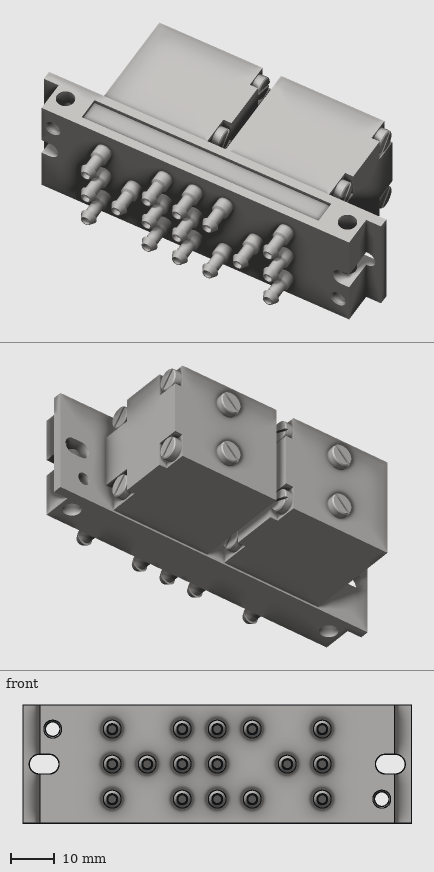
import cadquery as cq

plate_length = 88.5
plate_depth = 10.2
plate_height = 27.0
body_length = 80.7
flange_thickness = 2.4

recess_length = 62.1
recess_width = 5.8
recess_depth = 1.0

cross_hole_diameter = 4.4
cross_hole_x = 37.0
slot_x = 39.4
slot_length = 6.7
slot_width = 4.4
bolt_hole_x = 37.4
bolt_hole_diameter = 3.3
bolt_hole_mouth = 4.1
countersink_angle = 90.0

grid_pitch = 8.0
bolt_hole_z = grid_pitch
nipple_rows = {
    1: (-3, -1, 0, 1, 3),
    0: (-3, -2, -1, 0, 2, 3),
    -1: (-3, -1, 0, 1, 3),
}
nipple_length = 8.5
nipple_diameter = 4.1
neck_diameter = 3.0
tip_diameter = 2.5
bore_diameter = 2.0
collar_length = 2.7
collar_bevel = 0.4
barb_length = 1.5

block_length = 25.7
block_width = 29.2
block_height = 25.9
block_pitch = 31.95
blocks_x = 0.5
block_centres = (blocks_x - block_pitch / 2, blocks_x + block_pitch / 2)
block_end = plate_depth + block_length

screw_diameter = 5.6
screw_height = 2.1
screw_edge_chamfer = 0.3
screw_slot_width = 0.7
screw_slot_depth = 0.8
diagonal = 45.0
outer_slot_angles = (70.0, -diagonal)
end_screw_z = 7.0
side_screw_z = 9.7
side_screw_pitch = 17.9
notch_half_width = 2.9
outer_side_screw_y = block_end - notch_half_width
inner_side_screw_y = outer_side_screw_y - side_screw_pitch


def box_between(x, y, z):
    """Box spanning the given (low, high) pairs."""
    return cq.Workplane("XY").box(
        x[1] - x[0], y[1] - y[0], z[1] - z[0], centered=False
    ).translate((x[0], y[0], z[0]))


def make_plate():
    """Flanged plate with the recess and all its openings."""
    half_height = plate_height / 2
    body = box_between(
        (-body_length / 2, body_length / 2), (0, plate_depth), (-half_height, half_height)
    )
    flange = box_between(
        (-plate_length / 2, plate_length / 2),
        (plate_depth - flange_thickness, plate_depth),
        (-half_height, half_height),
    )
    recess = box_between(
        (-recess_length / 2, recess_length / 2),
        ((plate_depth - recess_width) / 2, (plate_depth + recess_width) / 2),
        (half_height - recess_depth, half_height),
    )
    cross_holes = (
        cq.Workplane("XY", origin=(0, plate_depth / 2, -half_height))
        .pushPoints([(-cross_hole_x, 0), (cross_hole_x, 0)])
        .circle(cross_hole_diameter / 2)
        .extrude(plate_height)
    )
    slots = (
        cq.Workplane("XZ")
        .pushPoints([(-slot_x, 0), (slot_x, 0)])
        .slot2D(slot_length, slot_width)
        .extrude(-plate_depth)
    )
    plate = body.union(flange).cut(recess).cut(cross_holes).cut(slots)
    return (
        plate.faces("<Y")
        .workplane(origin=(0, 0, 0))
        .pushPoints([(-bolt_hole_x, bolt_hole_z), (bolt_hole_x, -bolt_hole_z)])
        .cskHole(bolt_hole_diameter, bolt_hole_mouth, countersink_angle)
    )


def make_nipple():
    """Barbed nipple on the Y axis, pointing to -Y, bored over its length."""
    outer = nipple_diameter / 2
    neck = neck_diameter / 2
    bore = bore_diameter / 2
    return (
        cq.Workplane("XY")
        .moveTo(bore, 0)
        .lineTo(outer, 0)
        .lineTo(outer, -collar_length)
        .lineTo(neck, -collar_length - collar_bevel)
        .lineTo(neck, barb_length - nipple_length)
        .lineTo(outer, barb_length - nipple_length)
        .lineTo(tip_diameter / 2, -nipple_length)
        .lineTo(bore, -nipple_length)
        .close()
        .revolve(360, (0, 0, 0), (0, 1, 0))
    )


def make_screw(slot_angle):
    """Slotted screw head standing on Z = 0."""
    slot = (
        cq.Workplane("XY")
        .box(2 * screw_diameter, screw_slot_width, 2 * screw_slot_depth)
        .rotate((0, 0, 0), (0, 0, 1), slot_angle)
        .translate((0, 0, screw_height))
    )
    head = cq.Workplane("XY").circle(screw_diameter / 2).extrude(screw_height)
    return head.faces(">Z").chamfer(screw_edge_chamfer).cut(slot)


def make_block(outer_slot_angle):
    """Valve block centred on X = 0, with screws on its end and in its four corner notches."""
    side = block_width / 2
    notch_floor = side - screw_height
    block = box_between(
        (-side, side), (plate_depth, block_end), (-block_height / 2, block_height / 2)
    )
    outer_notch = (outer_side_screw_y - notch_half_width, block_end)
    inner_notch = (plate_depth, inner_side_screw_y + notch_half_width)
    upper_corner = (side_screw_z - notch_half_width, block_height / 2)
    lower_corner = (-block_height / 2, notch_half_width - side_screw_z)
    for y_range in (outer_notch, inner_notch):
        for z_range in (upper_corner, lower_corner):
            block = block.cut(box_between((notch_floor, side), y_range, z_range))

    end_screw = make_screw(-diagonal).rotate((0, 0, 0), (1, 0, 0), -90)
    outer_screw = make_screw(outer_slot_angle).rotate((0, 0, 0), (0, 1, 0), 90)
    inner_screw = make_screw(-diagonal).rotate((0, 0, 0), (0, 1, 0), 90)
    for z_side in (-1, 1):
        block = block.union(end_screw.translate((0, block_end, z_side * end_screw_z)))
        z = z_side * side_screw_z
        block = block.union(outer_screw.translate((notch_floor, outer_side_screw_y, z)))
        block = block.union(inner_screw.translate((notch_floor, inner_side_screw_y, z)))
    return block


result = make_plate()

nipple = make_nipple()
for row, columns in nipple_rows.items():
    for column in columns:
        result = result.union(nipple.translate((column * grid_pitch, 0, row * grid_pitch)))

for block_x, outer_slot_angle in zip(block_centres, outer_slot_angles):
    result = result.union(make_block(outer_slot_angle).translate((block_x, 0, 0)))